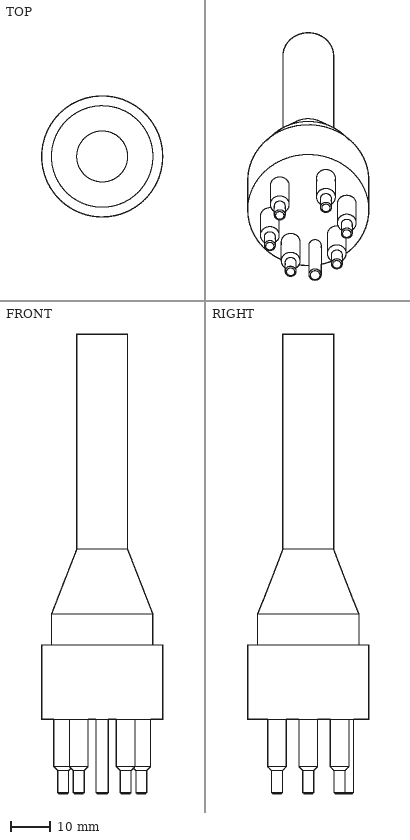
import cadquery as cq

collar_bottom = 19.0
collar_top = 38.1
neck_top = 46.0
cone_top = 62.5
cable_top = 117.5

collar_diameter = 31.0
neck_diameter = 26.0
cable_diameter = 13.0

pin_circle_radius = 10.0
pin_diameter = 4.8
pin_tip_diameter = 2.8
plain_pin_diameter = 3.2
thick_part_bottom = 6.9
tip_chamfer = 0.4

corner_pin_x = pin_circle_radius * 3 / 5
corner_pin_y = pin_circle_radius * 4 / 5


def revolved(profile):
    """Revolve a closed (radius, height) profile about the Z axis."""
    return cq.Workplane("XZ").polyline(profile).close().revolve(360, (0, 0), (0, 1))


def make_body():
    """Collar, neck, conical strain relief and cable on one axis."""
    return revolved([
        (0, collar_bottom),
        (collar_diameter / 2, collar_bottom),
        (collar_diameter / 2, collar_top),
        (neck_diameter / 2, collar_top),
        (neck_diameter / 2, neck_top),
        (cable_diameter / 2, cone_top),
        (cable_diameter / 2, cable_top),
        (0, cable_top),
    ])


def make_plain_pin():
    """Straight pin with a chamfered tip, reaching up to the collar."""
    radius = plain_pin_diameter / 2
    return revolved([
        (0, 0),
        (radius - tip_chamfer, 0),
        (radius, tip_chamfer),
        (radius, collar_bottom),
        (0, collar_bottom),
    ])


def make_stepped_pin():
    """Pin whose thick upper part narrows through a 45 degree cone to a thin chamfered tip."""
    radius = pin_diameter / 2
    tip_radius = pin_tip_diameter / 2
    return revolved([
        (0, 0),
        (tip_radius - tip_chamfer, 0),
        (tip_radius, tip_chamfer),
        (tip_radius, thick_part_bottom - (radius - tip_radius)),
        (radius, thick_part_bottom),
        (radius, collar_bottom),
        (0, collar_bottom),
    ])


result = make_body()

side_pins = [(side * pin_circle_radius, 0) for side in (-1, 1)]
corner_pins = [(i * corner_pin_x, j * corner_pin_y) for i in (-1, 1) for j in (-1, 1)]
stepped_pin = make_stepped_pin()
for x, y in side_pins + corner_pins:
    result = result.union(stepped_pin.translate((x, y, 0)))

plain_pin = make_plain_pin()
result = result.union(plain_pin.translate((0, pin_circle_radius, 0)))